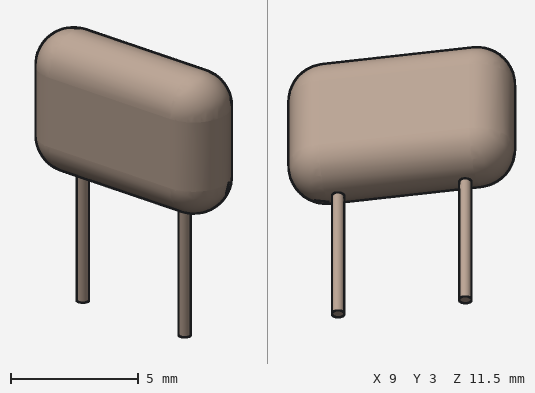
import cadquery as cq

total_height = 11.54
body_width = 9.0
body_depth = 3.0
body_height = 6.0

lead_diameter = 0.5
lead_spacing = 5.08
lead_length = total_height - body_height

round_radius = body_depth / 2
flat_width = body_width - 2 * round_radius
flat_height = body_height - 2 * round_radius

body_center_z = body_height / 2


def make_body():
    """Pillow-shaped body: a flat core with half-round edges and spherical corners."""
    shape = cq.Workplane("XY").box(flat_width, body_depth, flat_height)
    for side in (-1, 1):
        end_edge = (
            cq.Workplane("XY")
            .cylinder(flat_height, round_radius)
            .translate((side * flat_width / 2, 0, 0))
        )
        long_edge = (
            cq.Workplane("YZ")
            .cylinder(flat_width, round_radius)
            .translate((0, 0, side * flat_height / 2))
        )
        shape = shape.union(end_edge).union(long_edge)

    corners = (
        cq.Workplane("XZ")
        .rect(flat_width, flat_height, forConstruction=True)
        .vertices()
        .sphere(round_radius)
    )
    return shape.union(corners).translate((0, 0, body_center_z))


def make_lead(x, body):
    """Straight round wire whose top is shaped to meet the curved underside of the body."""
    wire = (
        cq.Workplane("XY", origin=(x, 0, -lead_length))
        .circle(lead_diameter / 2)
        .extrude(lead_length + round_radius)
    )
    return wire.cut(body)


body = make_body()

leads = []
for side in (-1, 1):
    leads.append(make_lead(side * lead_spacing / 2, body))

result = cq.Compound.makeCompound([body.solids().val(), *[lead.solids().val() for lead in leads]])